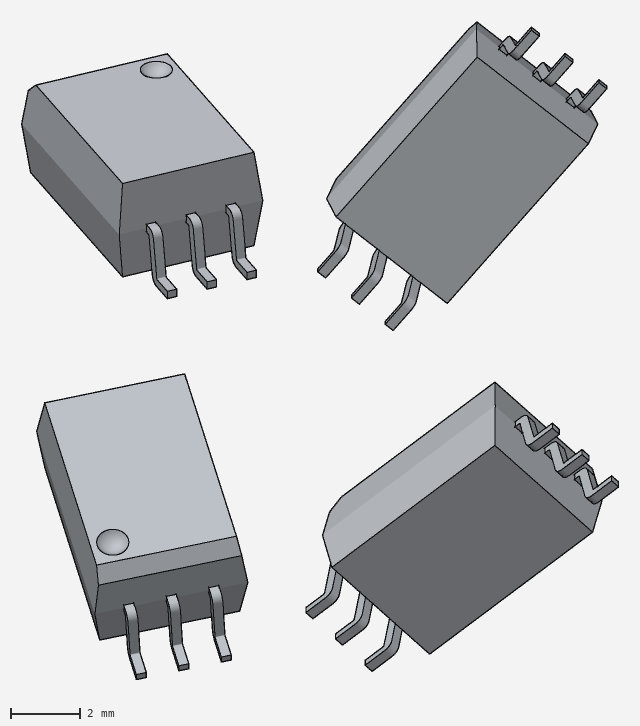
import cadquery as cq

OVERALL_LENGTH = 9.7
BODY_HEIGHT = 3.17
HALF_HEIGHT = BODY_HEIGHT / 2

BODY_LENGTH = 6.8
BODY_WIDTH = 4.58
TAPER_INSET = 0.19
CHAMFER_DROP = 0.41
CHAMFER_TOP_X = -2.83

DIMPLE_X = -2.15
DIMPLE_Y = 1.44
DIMPLE_RADIUS = 0.47
DIMPLE_DEPTH = 0.24

LEADS_PER_SIDE = 3
LEAD_PITCH = 1.27
LEAD_WIDTH = 0.3
LEAD_THICKNESS = 0.25
ROOT_DEPTH = 0.19
FOOT_LENGTH = 0.73
LEG_RUN = 0.27
LEG_WIDTH_X = 0.28
OUTER_BEND_RADIUS = 0.28
INNER_BEND_RADIUS = 0.03


def tapered_half(height):
    """Half of the housing, tapering from the parting plane up or, if height is negative, down."""
    return (
        cq.Workplane("XY", origin=(0, 0, HALF_HEIGHT))
        .rect(BODY_LENGTH, BODY_WIDTH)
        .workplane(offset=height)
        .rect(BODY_LENGTH - 2 * TAPER_INSET, BODY_WIDTH - 2 * TAPER_INSET)
        .loft(ruled=True)
    )


def chamfer_cutter():
    """Wedge that bevels the top edge on the -X side."""
    low_z = BODY_HEIGHT - CHAMFER_DROP
    low_x = -BODY_LENGTH / 2 + TAPER_INSET * (1 - CHAMFER_DROP / HALF_HEIGHT)
    return (
        cq.Workplane("XZ")
        .polyline([(low_x, low_z), (CHAMFER_TOP_X, BODY_HEIGHT), (low_x, BODY_HEIGHT)])
        .close()
        .extrude(BODY_WIDTH / 2, both=True)
    )


def dimple_cutter():
    """Sphere whose cap sinks into the top face."""
    sphere_radius = (DIMPLE_RADIUS**2 + DIMPLE_DEPTH**2) / (2 * DIMPLE_DEPTH)
    center_z = BODY_HEIGHT - DIMPLE_DEPTH + sphere_radius
    return cq.Workplane("XY").sphere(sphere_radius).translate((DIMPLE_X, DIMPLE_Y, center_z))


def make_housing(leads):
    """Tapered shell with a bevel, a dimple and a matching socket for each lead."""
    shell = tapered_half(HALF_HEIGHT).union(tapered_half(-HALF_HEIGHT))
    housing = shell.cut(chamfer_cutter()).cut(dimple_cutter())
    for lead in leads:
        housing = housing.cut(cq.Workplane(lead))
    return housing


def make_lead():
    """Lead on the -X side at y = 0, its flat root reaching into the housing."""
    tip_x = -OVERALL_LENGTH / 2
    heel_x = tip_x + FOOT_LENGTH
    bend_x = heel_x + LEG_WIDTH_X
    knee_x = bend_x + LEG_RUN
    root_x = -BODY_LENGTH / 2 + ROOT_DEPTH
    shoulder_top = HALF_HEIGHT + LEAD_THICKNESS / 2
    shoulder_bottom = HALF_HEIGHT - LEAD_THICKNESS / 2
    profile = [
        (tip_x, 0),
        (bend_x, 0),
        (knee_x, shoulder_bottom),
        (root_x, shoulder_bottom),
        (root_x, shoulder_top),
        (bend_x, shoulder_top),
        (heel_x, LEAD_THICKNESS),
        (tip_x, LEAD_THICKNESS),
    ]
    lead = cq.Workplane("XZ").polyline(profile).close().extrude(LEAD_WIDTH / 2, both=True)
    outer_corners = [(bend_x, 0), (bend_x, shoulder_top)]
    inner_corners = [(heel_x, LEAD_THICKNESS), (knee_x, shoulder_bottom)]
    for corners, radius in ((outer_corners, OUTER_BEND_RADIUS), (inner_corners, INNER_BEND_RADIUS)):
        for x, z in corners:
            lead = lead.edges(cq.selectors.NearestToPointSelector((x, 0, z))).fillet(radius)
    return lead


left_lead = make_lead()
right_lead = left_lead.mirror("YZ")

leads = []
for index in range(LEADS_PER_SIDE):
    lead_y = (index - (LEADS_PER_SIDE - 1) / 2) * LEAD_PITCH
    for lead in (left_lead, right_lead):
        leads.append(lead.translate((0, lead_y, 0)).solids().val())

housing = make_housing(leads)

result = cq.Compound.makeCompound([housing.solids().val(), *leads])